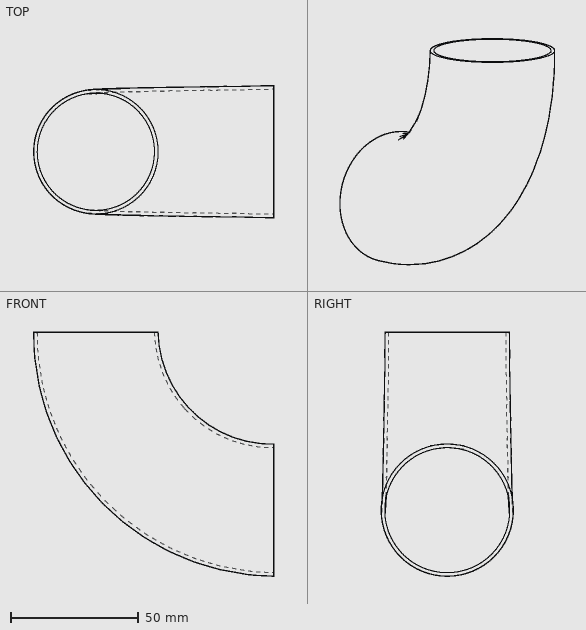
import cadquery as cq

bend_radius = 70.0
small_diameter = 49.0
large_diameter = 52.0
wall = 1.4

centreline = (
    cq.Workplane("XZ")
    .moveTo(-bend_radius, 0)
    .radiusArc((0, -bend_radius), -bend_radius)
)

top_end = cq.Plane(origin=(-bend_radius, 0, 0), xDir=(1, 0, 0), normal=(0, 0, -1))
side_end = cq.Plane(origin=(0, 0, -bend_radius), xDir=(0, 0, 1), normal=(1, 0, 0))


def tapered_bend(start_diameter, end_diameter):
    """Solid bend whose round section grows along the centreline."""
    return (
        cq.Workplane(top_end)
        .circle(start_diameter / 2)
        .copyWorkplane(cq.Workplane(side_end))
        .circle(end_diameter / 2)
        .sweep(centreline, multisection=True)
    )


outer_body = tapered_bend(small_diameter, large_diameter)
bore = tapered_bend(small_diameter - 2 * wall, large_diameter - 2 * wall)

result = outer_body.cut(bore)